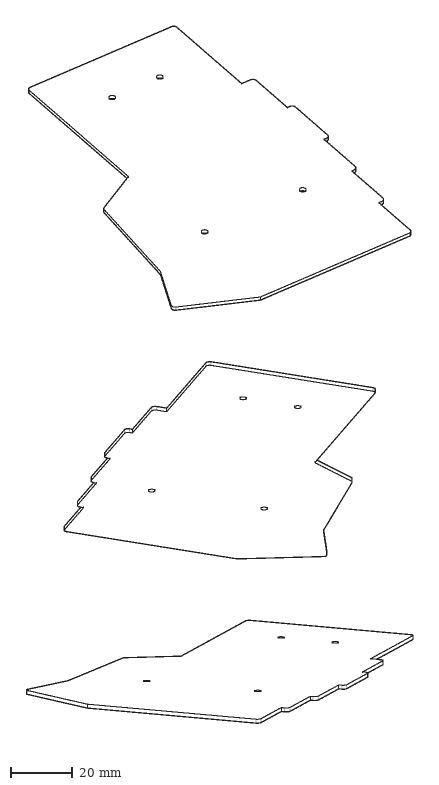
import cadquery as cq
import math

length = 135.1
thickness = 1.4
body_height = 58.9
key_pitch = 19.0

inner_step_rise = 2.5
outer_step_rise = 4.9
peak_rise = 7.2
peak_width = 20.8
body_corner_radius = 1.2
step_corner_radius = 1.4

lobe_tilt = math.radians(24)
lobe_start_x = 57.5
lobe_heel = (66.9, -16.6)
lobe_bend_x = 105.1
lobe_right_y = -1.8
lobe_depth = 28.2
lobe_corner_radius = 1.4

hole_diameter = 2.2
left_hole_x = 19.9
left_hole_low_y = 20.0
right_hole_x = 96.1
right_hole_low_y = 3.4
right_hole_spacing = 39.2

inner_step_x = length - key_pitch
outer_step_x = inner_step_x - key_pitch
peak_right_x = outer_step_x - key_pitch
peak_left_x = peak_right_x - peak_width
left_step_x = peak_left_x - key_pitch

inner_step_y = body_height + inner_step_rise
outer_step_y = body_height + outer_step_rise
peak_y = body_height + peak_rise

tip_overshoot = lobe_corner_radius * (math.sin(lobe_tilt) + math.cos(lobe_tilt) - 1)
tip_y = -lobe_depth - tip_overshoot
tip_x = length - (lobe_right_y - tip_y) * math.tan(lobe_tilt)
lobe_bend_y = tip_y + (tip_x - lobe_bend_x) * math.tan(lobe_tilt)


def round_corners(plate, corners, radius):
    """Round the upright edges of the plate at the given outline corners."""
    margin = 0.1
    for x, y in corners:
        around_corner = cq.selectors.BoxSelector(
            (x - margin, y - margin, -margin),
            (x + margin, y + margin, thickness + margin),
        )
        plate = plate.edges("|Z").edges(around_corner).fillet(radius)
    return plate


body_corners = [(0, 0), (0, body_height), (length, body_height)]
peak_corners = [(peak_left_x, peak_y), (peak_right_x, peak_y)]
step_corners = [
    (left_step_x, outer_step_y),
    (outer_step_x, outer_step_y),
    (inner_step_x, inner_step_y),
]
tip = (tip_x, tip_y)

outline = [
    (0, 0),
    (0, body_height),
    (left_step_x, body_height),
    (left_step_x, outer_step_y),
    (peak_left_x, outer_step_y),
    (peak_left_x, peak_y),
    (peak_right_x, peak_y),
    (peak_right_x, outer_step_y),
    (outer_step_x, outer_step_y),
    (outer_step_x, inner_step_y),
    (inner_step_x, inner_step_y),
    (inner_step_x, body_height),
    (length, body_height),
    (length, lobe_right_y),
    tip,
    (lobe_bend_x, lobe_bend_y),
    lobe_heel,
    (lobe_start_x, 0),
]

hole_centers = [
    (left_hole_x, left_hole_low_y),
    (left_hole_x, left_hole_low_y + key_pitch),
    (right_hole_x, right_hole_low_y),
    (right_hole_x, right_hole_low_y + right_hole_spacing),
]

plate = cq.Workplane("XY").polyline(outline).close().extrude(thickness)
plate = round_corners(plate, body_corners + peak_corners, body_corner_radius)
plate = round_corners(plate, step_corners, step_corner_radius)
plate = round_corners(plate, [tip, lobe_heel], lobe_corner_radius)

holes = cq.Workplane("XY").pushPoints(hole_centers).circle(hole_diameter / 2).extrude(thickness)
result = plate.cut(holes)